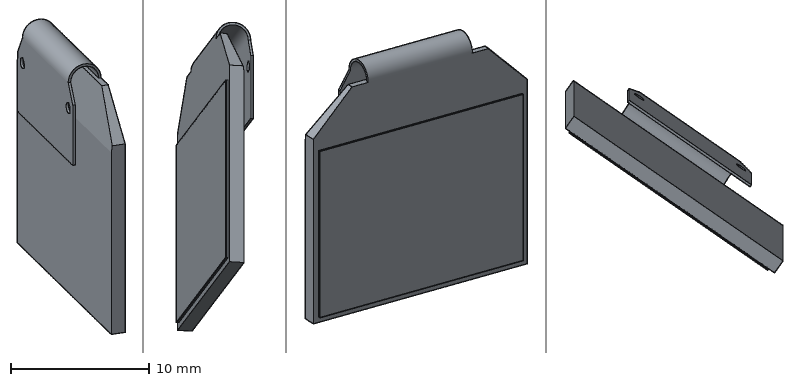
import cadquery as cq

overall_height = 19.38
overall_depth = 2.75

body_width = 18.47
body_depth = 1.09
body_top_depth = 0.5
taper_start = 14.25
corner_cut = 3.33

clip_sheet = 0.2
bend_width = 9.0
flap_width = 10.81
flap_bottom = 11.98
shoulder_height = 16.69
hole_diameter = 0.8
hole_height = 16.12
hole_spacing = bend_width

inner_layer_thickness = 0.12
outer_layer_thickness = 0.08
layer_side_margin = 0.47
layer_bottom = 0.45
layer_top = 13.76

clip_depth = overall_depth - inner_layer_thickness - outer_layer_thickness
bend_radius = clip_depth / 2
body_height = overall_height - bend_radius


def make_slab():
    """Slab whose front face tapers towards the top, with the two upper corners cut off."""
    side_profile = (
        cq.Workplane("YZ")
        .polyline([
            (0, 0),
            (-body_depth, 0),
            (-body_depth, taper_start),
            (-body_top_depth, body_height),
            (0, body_height),
        ])
        .close()
        .extrude(body_width / 2, both=True)
    )
    return side_profile.intersect(corner_outline())


def corner_outline():
    """Front outline of the body, with its upper corners cut at 45 degrees."""
    side = body_width / 2
    return (
        cq.Workplane("XZ")
        .polyline([
            (-side, 0),
            (side, 0),
            (side, body_height - corner_cut),
            (side - corner_cut, body_height),
            (corner_cut - side, body_height),
            (-side, body_height - corner_cut),
        ])
        .close()
        .extrude(body_depth)
    )


def make_clip():
    """Half-round bend that stands on the body's top edge and carries a flat flap in front."""
    inner_radius = bend_radius - clip_sheet
    bend = (
        cq.Workplane("YZ")
        .moveTo(0, body_height)
        .threePointArc((-bend_radius, overall_height), (-clip_depth, body_height))
        .lineTo(clip_sheet - clip_depth, body_height)
        .threePointArc((-bend_radius, body_height + inner_radius), (-clip_sheet, body_height))
        .close()
        .extrude(bend_width / 2, both=True)
    )
    flap = (
        cq.Workplane("XZ", origin=(0, clip_sheet - clip_depth, 0))
        .polyline([
            (-flap_width / 2, flap_bottom),
            (flap_width / 2, flap_bottom),
            (flap_width / 2, shoulder_height),
            (bend_width / 2, body_height),
            (-bend_width / 2, body_height),
            (-flap_width / 2, shoulder_height),
        ])
        .close()
        .extrude(clip_sheet)
    )
    holes = (
        cq.Workplane("XZ", origin=(0, clip_sheet - clip_depth, hole_height))
        .pushPoints([(-hole_spacing / 2, 0), (hole_spacing / 2, 0)])
        .circle(hole_diameter / 2)
        .extrude(clip_sheet)
    )
    return bend.union(flap).cut(holes)


def make_body():
    """Slab and its integral spring clip as one solid."""
    return make_slab().union(make_clip())


def layer_sheet(start, thickness):
    """Rectangular sheet whose front face lies at Y = start."""
    layer_width = body_width - 2 * layer_side_margin
    return cq.Workplane("XY", origin=(0, start, layer_bottom)).box(
        layer_width, thickness, layer_top - layer_bottom, centered=(True, False, False)
    )


def make_inner_layer():
    """Sheet lying against the back face of the body."""
    return layer_sheet(0, inner_layer_thickness)


def make_outer_layer():
    """Sheet covering the inner layer."""
    return layer_sheet(inner_layer_thickness, outer_layer_thickness)


body = make_body()
inner_layer = make_inner_layer()
outer_layer = make_outer_layer()

result = cq.Compound.makeCompound([body.val(), inner_layer.val(), outer_layer.val()])